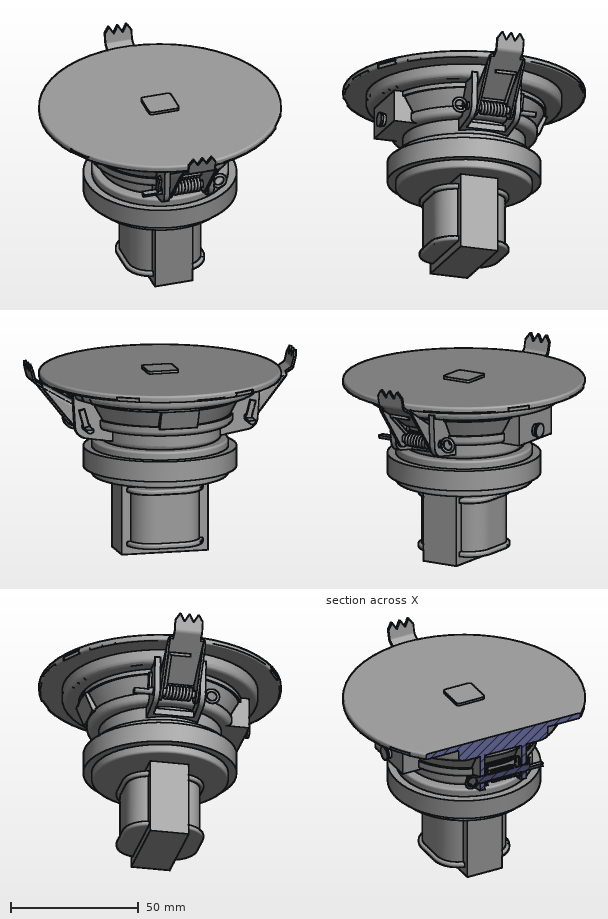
import cadquery as cq
import math


grille_radius = 94.8 / 2
grille_thickness = 2.6
grille_top_round = 0.9
grille_bottom_round = 0.6
bezel_radius = 38.3
bezel_bottom_z = -7.9
bezel_round = 2.0
badge_size = 12.2
badge_height = 1.0
badge_corner_radius = 1.2
notch_angles = (60, 120, 240, 300)
notch_width = 9.0
notch_depth = 0.8
notch_height = 1.55

rim_radius = 31.9
rim_bottom_z = -9.8
cone_top_radius = 31.2
cone_bottom_radius = 27.7
collar_radius = 28.6
collar_top_z = -16.5
collar_bottom_z = -20.45
collar_round = 2.0
neck_radius = 24.0
neck_round = 1.9
panel_half_width = 7.6
panel_bottom_z = -17.3
panel_stand_off = 0.1

terminal_half_width = 11.5
terminal_outer_y = 33.2
screw_z = -16.45
screw_neck_radius = 2.4
screw_head_radius = 2.75
screw_neck_end_y = 34.5
screw_head_end_y = 35.4

yoke_radius = 53.5 / 2
yoke_round = 0.9
magnet_radius = 60.0 / 2
yoke_top_z = -27.0
magnet_top_z = -30.1
magnet_bottom_z = -38.1
yoke_bottom_z = -41.4

core_half_x = 17.4
core_half_y = 7.7
core_bottom_z = -71.35
coil_size_x = 28.3
coil_size_y = 29.4
coil_corner_radius = 9.1
flange_size_x = 31.2
flange_size_y = 32.2
flange_thickness = 2.0
flange_round = 0.8
bobbin_top_z = -44.5
bobbin_bottom_z = -68.1

wall_inner_y = 8.0
wall_outer_y = 10.2
bracket_top_z = -5.9
bracket_inner_x = 20.0
bracket_inner_bottom_z = -25.4
bracket_heel_x = 36.6
bracket_heel_z = -22.7
bracket_top_x = 37.7
bracket_heel_round = 5.0
floor_top_z = -22.1
floor_outer_x = 25.0

pin_x = -32.75
pin_z = -18.4
pin_radius = 2.9 / 2
eye_center_y = 13.6
eye_mean_radius = 2.5
eye_wire_radius = 0.55
prong_length = 7.1
prong_angle = 15.0
prong_width = 2.2
prong_thickness = 1.0
straight_prong_end_y = -17.6
prong_gap = 0.7
sheet = 0.9
clip_span = 108.19
tip_z = 6.1
elbow_z = -0.4
elbow_inner_round = 1.2
tongue_lean = 14.0
arm_slope = 31.0
arm_outer_x = -49.2
arm_end_x = -31.0
arm_half_width = 7.6
arm_lug_radius = 3.4
arm_edge_depth = 1.25
arm_bend_radius = 1.9
tongue_half_width = 5.45
tooth_pitch = 3.65
tooth_depth = 3.0
shoulder_depth = 2.6
wire_radius = 1.2 / 2
spring_radius = 2.15
spring_turns = 8
spring_length = 10.4
spring_hook_z = -5.6
spring_hook_y = 2.7
spring_center_y = 0.2
weld_overlap = 0.06


def revolved(points):
    """Revolve an outline of (radius, z) points about the Z axis."""
    return cq.Workplane("XZ").polyline(points).close().revolve(360, (0, 0, 0), (0, 1, 0))


def disc(radius, bottom_z, top_z):
    return cq.Workplane("XY").workplane(offset=bottom_z).circle(radius).extrude(top_z - bottom_z)


def slab_xz(points, y_min, y_max):
    """Extrude an outline of (x, z) points from y_min to y_max."""
    return cq.Workplane("XZ", origin=(0, y_max, 0)).polyline(points).close().extrude(y_max - y_min)


def rod(start, end, radius):
    """Round rod between two points."""
    start = cq.Vector(*start)
    axis = cq.Vector(*end) - start
    return cq.Workplane(cq.Solid.makeCylinder(radius, axis.Length, start, axis))


def ball(center, radius):
    return cq.Workplane("XY").sphere(radius).translate(center)


def make_grille():
    plate = disc(grille_radius, -grille_thickness, 0)
    plate = plate.faces(">Z").edges().fillet(grille_top_round)
    plate = plate.faces("<Z").edges().fillet(grille_bottom_round)
    notch_length = 2 * notch_depth
    for angle in notch_angles:
        notch = cq.Workplane("XY").box(notch_length, notch_width, 2 * notch_height)
        notch = notch.translate((grille_radius, 0, -grille_thickness))
        plate = plate.cut(notch.rotate((0, 0, 0), (0, 0, 1), angle))
    bezel = disc(bezel_radius, bezel_bottom_z, -grille_thickness)
    bezel = bezel.faces("<Z").edges().fillet(bezel_round)
    badge = cq.Workplane("XY").rect(badge_size, badge_size).extrude(badge_height)
    badge = badge.edges("|Z").fillet(badge_corner_radius)
    return plate.union(bezel).union(badge)


def make_basket():
    cone = revolved([
        (0, bezel_bottom_z),
        (rim_radius, bezel_bottom_z),
        (rim_radius, rim_bottom_z),
        (cone_top_radius, rim_bottom_z),
        (cone_bottom_radius, collar_top_z),
        (0, collar_top_z),
    ])
    collar = disc(collar_radius, collar_bottom_z, collar_top_z)
    collar = collar.faces("<Z").edges().fillet(collar_round)
    neck = disc(neck_radius, yoke_top_z, collar_bottom_z)
    neck = neck.faces("<Z").edges().fillet(neck_round)
    panel = (
        cq.Workplane("YZ", origin=(-panel_half_width, 0, 0))
        .polyline([
            (-neck_radius, rim_bottom_z),
            (-rim_radius, rim_bottom_z),
            (-collar_radius - panel_stand_off, panel_bottom_z),
            (-neck_radius, panel_bottom_z),
        ])
        .close()
        .extrude(2 * panel_half_width)
    )
    return cone.union(collar).union(neck).union(panel)


def make_terminal():
    block = cq.Workplane("XY").box(
        2 * terminal_half_width,
        terminal_outer_y - neck_radius / 2,
        bezel_bottom_z - collar_bottom_z,
        centered=(True, False, False),
    )
    block = block.translate((0, neck_radius / 2, collar_bottom_z))
    neck = rod((0, neck_radius, screw_z), (0, screw_neck_end_y, screw_z), screw_neck_radius)
    head = rod((0, screw_neck_end_y, screw_z), (0, screw_head_end_y, screw_z), screw_head_radius)
    return block.union(neck).union(head)


def make_magnet():
    yoke = disc(yoke_radius, yoke_bottom_z, yoke_top_z)
    yoke = yoke.edges().fillet(yoke_round)
    return yoke.union(disc(magnet_radius, magnet_bottom_z, magnet_top_z))


def make_bracket():
    """Bracket on the -X side: two walls, a floor between them and a pin hole."""
    outline = [
        (-bracket_inner_x, bracket_top_z),
        (-bracket_top_x, bracket_top_z),
        (-bracket_heel_x, bracket_heel_z),
        (-bracket_inner_x, bracket_inner_bottom_z),
    ]
    walls = slab_xz(outline, -wall_outer_y, wall_outer_y)
    heel = cq.selectors.NearestToPointSelector((-bracket_heel_x, 0, bracket_heel_z))
    walls = walls.edges("|Y").edges(heel).fillet(bracket_heel_round)

    channel = slab_xz(
        [
            (-bracket_inner_x, 0),
            (-grille_radius, 0),
            (-grille_radius, yoke_top_z),
            (-floor_outer_x, yoke_top_z),
            (-floor_outer_x, floor_top_z),
            (-bracket_inner_x, floor_top_z),
        ],
        -wall_inner_y,
        wall_inner_y,
    )
    pin_hole = rod((pin_x, -wall_outer_y, pin_z), (pin_x, wall_outer_y, pin_z), pin_radius)
    return walls.cut(channel).cut(pin_hole)


def make_speaker():
    speaker = make_grille().union(make_basket()).union(make_terminal()).union(make_magnet())
    bracket = make_bracket()
    return speaker.union(bracket).union(bracket.mirror("YZ"))


def rounded_block(size_x, size_y, bottom_z, height, corner_radius):
    block = cq.Workplane("XY").workplane(offset=bottom_z).rect(size_x, size_y).extrude(height)
    return block.edges("|Z").fillet(corner_radius)


def make_transformer():
    core_height = yoke_bottom_z - core_bottom_z
    core = cq.Workplane("XY").workplane(offset=core_bottom_z)
    core = core.rect(2 * core_half_x, 2 * core_half_y).extrude(core_height)
    bobbin_height = bobbin_top_z - bobbin_bottom_z
    transformer = core.union(
        rounded_block(coil_size_x, coil_size_y, bobbin_bottom_z, bobbin_height, coil_corner_radius)
    )
    flange_corner_radius = coil_corner_radius + (flange_size_x - coil_size_x) / 2
    for bottom_z in (bobbin_bottom_z, bobbin_top_z - flange_thickness):
        flange = rounded_block(
            flange_size_x, flange_size_y, bottom_z, flange_thickness, flange_corner_radius
        )
        flange = flange.faces("<Z or >Z").edges().fillet(flange_round)
        transformer = transformer.union(flange)
    return transformer


lean = math.radians(tongue_lean)
slope = math.radians(arm_slope)
tip_x = -clip_span / 2 + sheet * math.cos(lean)
elbow_x = tip_x + (tip_z - elbow_z) * math.tan(lean)


def arm_top_z(x):
    """Height of the upper face of the sloping arm."""
    return elbow_z - (x - elbow_x) * math.tan(slope)


def below_arm(x, depth):
    """Point at the given depth square below the upper face of the arm at x."""
    return x - depth * math.sin(slope), arm_top_z(x) - depth * math.cos(slope)


def make_tongue():
    """Bent sheet strip: sloping part, elbow and toothed tip."""
    half_turn = (math.pi / 2 - lean - slope) / 2
    mitre_angle = lean + half_turn
    mitre = sheet / math.cos(half_turn)
    outer_elbow_x = elbow_x - mitre * math.cos(mitre_angle)
    outer_elbow_z = elbow_z - mitre * math.sin(mitre_angle)
    strip = slab_xz(
        [
            (arm_end_x, arm_top_z(arm_end_x)),
            (elbow_x, elbow_z),
            (tip_x, tip_z),
            (-clip_span / 2, tip_z - sheet * math.sin(lean)),
            (outer_elbow_x, outer_elbow_z),
            below_arm(arm_end_x, sheet),
        ],
        -tongue_half_width,
        tongue_half_width,
    )
    inner_elbow = cq.selectors.NearestToPointSelector((elbow_x, 0, elbow_z))
    strip = strip.edges("|Y").edges(inner_elbow).fillet(elbow_inner_round)
    outer_elbow = cq.selectors.NearestToPointSelector((outer_elbow_x, 0, outer_elbow_z))
    strip = strip.edges("|Y").edges(outer_elbow).fillet(elbow_inner_round + sheet)
    root_z = tip_z - tooth_depth
    teeth_gap = (
        cq.Workplane("YZ", origin=(-clip_span / 2 - sheet, 0, 0))
        .polyline([
            (-tongue_half_width, tip_z - shoulder_depth),
            (-tooth_pitch, tip_z),
            (-tooth_pitch / 2, root_z),
            (0, tip_z),
            (tooth_pitch / 2, root_z),
            (tooth_pitch, tip_z),
            (tongue_half_width, tip_z - shoulder_depth),
            (tongue_half_width, tip_z + sheet),
            (-tongue_half_width, tip_z + sheet),
        ])
        .close()
        .extrude(elbow_x + clip_span / 2 + 2 * sheet)
    )
    return strip.cut(teeth_gap)


def make_arm():
    """Channel with its sloping web on top and two side flanges down to the pin."""
    corner = (arm_outer_x, arm_top_z(arm_outer_x) - arm_edge_depth)
    reach_x = corner[0] - pin_x
    reach_z = corner[1] - pin_z
    tangent_angle = math.atan2(reach_z, reach_x) + math.acos(arm_lug_radius / math.hypot(reach_x, reach_z))
    tangent_point = (
        pin_x + arm_lug_radius * math.cos(tangent_angle),
        pin_z + arm_lug_radius * math.sin(tangent_angle),
    )
    arm = slab_xz(
        [
            (arm_outer_x, arm_top_z(arm_outer_x)),
            corner,
            tangent_point,
            (pin_x, pin_z),
            (arm_end_x, pin_z),
            (arm_end_x, arm_top_z(arm_end_x)),
        ],
        -arm_half_width,
        arm_half_width,
    )
    web_direction = cq.Vector(math.cos(slope), 0, -math.sin(slope))
    arm = arm.edges(cq.selectors.ParallelDirSelector(web_direction)).fillet(arm_bend_radius)
    lug = rod((pin_x, -arm_half_width, pin_z), (pin_x, arm_half_width, pin_z), arm_lug_radius)
    inner_half_width = arm_half_width - sheet
    hollow = slab_xz(
        [
            below_arm(-clip_span / 2, sheet),
            below_arm(0, sheet),
            (0, core_bottom_z),
            (-clip_span / 2, core_bottom_z),
        ],
        -inner_half_width,
        inner_half_width,
    )
    return arm.union(lug).cut(hollow)


def make_pin():
    """Split pin with an eye at +Y. At -Y the upper half bends up and the lower half stays straight."""
    prong_y = -wall_outer_y - prong_gap - prong_thickness
    eye_start_y = eye_center_y - eye_mean_radius
    shank = rod((pin_x, prong_y, pin_z), (pin_x, eye_start_y, pin_z), pin_radius)
    eye = cq.Solid.makeTorus(
        eye_mean_radius, eye_wire_radius, cq.Vector(pin_x, eye_center_y, pin_z), cq.Vector(1, 0, 0)
    )
    prong = cq.Workplane("XY").box(
        prong_width, prong_thickness, prong_length, centered=(True, False, False)
    )
    prong = prong.rotate((0, 0, 0), (0, 1, 0), -prong_angle).translate((pin_x, prong_y, pin_z))
    straight_prong = rod((pin_x, prong_y, pin_z), (pin_x, straight_prong_end_y, pin_z), pin_radius)
    upper_half = slab_xz(
        [
            (pin_x - pin_radius, pin_z),
            (pin_x + pin_radius, pin_z),
            (pin_x + pin_radius, pin_z + pin_radius),
            (pin_x - pin_radius, pin_z + pin_radius),
        ],
        straight_prong_end_y,
        prong_y,
    )
    straight_prong = straight_prong.cut(upper_half)
    return shank.union(cq.Workplane(eye)).union(prong).union(straight_prong)


def make_spring():
    """Coil about the pin with a hooked leg under the arm."""
    pitch = spring_length / spring_turns
    start_y = spring_center_y - spring_length / 2
    path = cq.Wire.makeHelix(pitch, spring_length, spring_radius)
    coil = cq.Workplane("XZ", origin=(spring_radius, 0, 0)).circle(wire_radius)
    coil = coil.sweep(cq.Workplane(path), isFrenet=True)
    coil = coil.rotate((0, 0, 0), (1, 0, 0), -90)
    coil = coil.translate((pin_x, start_y, pin_z))

    coil_x = pin_x + spring_radius
    hook_depth = sheet + wire_radius - weld_overlap
    hook_top_x = elbow_x + (elbow_z - spring_hook_z) / math.tan(slope)
    hook_x, hook_z = below_arm(hook_top_x, hook_depth)
    start = (coil_x, start_y, pin_z)
    corner = (hook_x, -tongue_half_width, hook_z)
    hook_end = (hook_x, spring_hook_y, hook_z)
    spring = coil.union(rod(start, corner, wire_radius)).union(rod(corner, hook_end, wire_radius))
    for joint in (start, corner):
        spring = spring.union(ball(joint, wire_radius))
    return spring


def make_clip():
    return make_arm().union(make_tongue()).union(make_pin()).union(make_spring())


speaker = make_speaker()
transformer = make_transformer()
left_clip = make_clip()
clips = []
for side in (-1, 1):
    clips.append(left_clip if side < 0 else left_clip.mirror("YZ"))

result = cq.Compound.makeCompound([
    *speaker.solids().vals(),
    *transformer.solids().vals(),
    *[solid for clip in clips for solid in clip.solids().vals()],
])